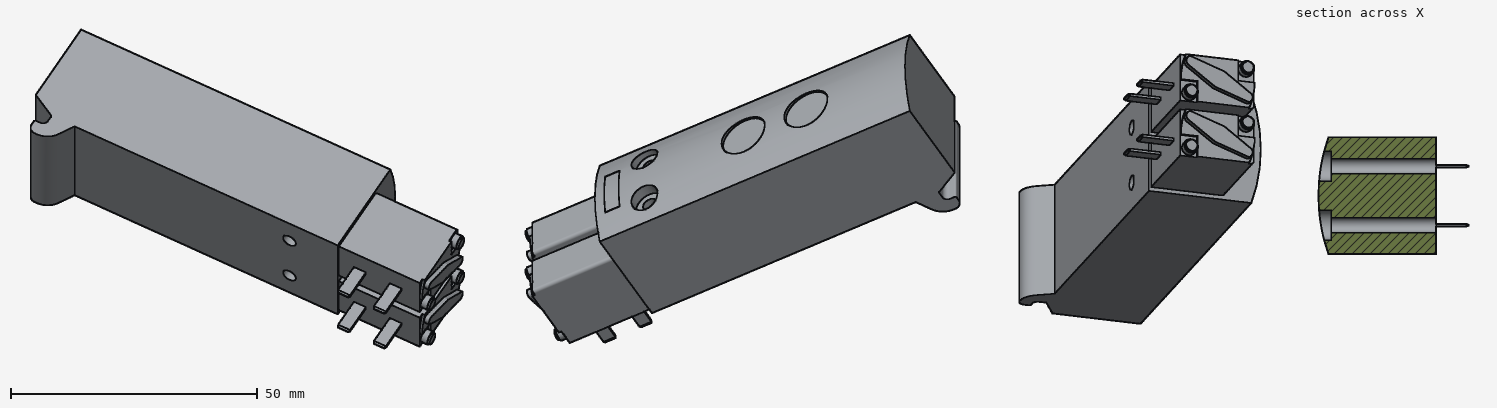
import cadquery as cq
import math


overall_length = 92.6
body_length = 71.9
body_height = 23.7
side_top_y = 21.85
crown_top_y = 23.9
nose_rise = 3.1
nose_run = 5.4

hook_left_x = 2.9
hook_tip_top_y = -2.6
hook_bottom_y = -5.5
hook_tip_corner = 0.4
hook_throat_radius = 1.1
hook_toe_radius = 1.7
hook_heel_diameter = 9.0
hook_heel_x = 5.0
hook_back_angle = math.radians(60)

station_pitch = 11.9
station_z = station_pitch / 2
mount_hole_x = 60.65
mount_hole_diameter = 3.0
mount_bore_diameter = 6.0
mount_bore_floor_y = 21.3

dimple_x = (23.0, 37.5)
dimple_diameter = 10.0
dimple_floor_y = 23.15
label_x = 68.1
label_length = 3.3
label_width = 11.1
label_depth = 0.1

coil_end_x = 90.7
coil_low_y = 0.5
coil_high_y = 16.2
coil_height = 10.0
coil_edge_radius = 0.7
coil_middle_y = (coil_low_y + coil_high_y) / 2

cover_thickness = 0.6
cover_side_bow = 1.1
screw_offset_y = 6.0
screw_offset_z = 3.2
screw_boss_diameter = 3.0
screw_boss_end_x = 92.1
screw_head_diameter = 2.4
notch_size_y = 3.5
notch_size_z = 4.4
strap_end_x = 92.3
strap_half_length = 7.0
strap_outer_z = 4.5
strap_inner_z = 2.6
strap_kink_y = 1.0
strap_kink_z = 1.8
strap_end_radius = 0.8

pin_x = (76.8, 85.1)
pin_width = 2.8
pin_thickness = 0.6
pin_tip_y = -6.6
pin_tip_length = 0.5
pin_tip_bevel = 0.2


def box(x_range, y_range, z_range):
    """Axis-aligned block between the given limits."""
    sizes = [high - low for low, high in (x_range, y_range, z_range)]
    block = cq.Workplane("XY").box(*sizes, centered=False)
    return block.translate((x_range[0], y_range[0], z_range[0]))


def cylinder_y(x, z, diameter, low_y, high_y):
    """Cylinder along Y."""
    axis_plane = cq.Workplane("XZ", origin=(x, low_y, z))
    return axis_plane.circle(diameter / 2).extrude(low_y - high_y)


def cylinder_x(y, z, diameter, start_x, end_x):
    """Cylinder along X."""
    axis_plane = cq.Workplane("YZ", origin=(start_x, y, z))
    return axis_plane.circle(diameter / 2).extrude(end_x - start_x)


def crown_cross_section(drop=0.0):
    """Cross-section with an arched +Y side, lowered by `drop`, extruded over the body length."""
    half = body_height / 2
    return (
        cq.Workplane("YZ")
        .moveTo(hook_bottom_y, -half)
        .lineTo(side_top_y - drop, -half)
        .threePointArc((crown_top_y - drop, 0), (side_top_y - drop, half))
        .lineTo(hook_bottom_y, half)
        .close()
        .extrude(body_length)
    )


def side_outline():
    """Side outline of body and latch hook, extruded through the full body height."""
    diagonal = math.sqrt(0.5)
    corner = hook_tip_corner
    throat = hook_throat_radius
    toe = hook_toe_radius
    heel = hook_heel_diameter / 2
    heel_center_y = hook_bottom_y + heel

    heel_end_x = hook_heel_x + heel * math.sin(hook_back_angle)
    heel_end_y = heel_center_y - heel * math.cos(hook_back_angle)
    heel_mid_x = hook_heel_x + heel * math.sin(hook_back_angle / 2)
    heel_mid_y = heel_center_y - heel * math.cos(hook_back_angle / 2)
    back_top_x = heel_end_x - heel_end_y / math.tan(hook_back_angle)

    outline = (
        cq.Workplane("XY", origin=(0, 0, -body_height / 2))
        .moveTo(0, crown_top_y)
        .lineTo(0, nose_rise)
        .lineTo(nose_run, 0)
        .lineTo(nose_run, hook_tip_top_y + throat)
        .threePointArc(
            (nose_run - throat * (1 - diagonal), hook_tip_top_y + throat * (1 - diagonal)),
            (nose_run - throat, hook_tip_top_y),
        )
        .lineTo(hook_left_x + corner, hook_tip_top_y)
        .threePointArc(
            (hook_left_x + corner * (1 - diagonal), hook_tip_top_y - corner * (1 - diagonal)),
            (hook_left_x, hook_tip_top_y - corner),
        )
        .lineTo(hook_left_x, hook_bottom_y + toe)
        .threePointArc(
            (hook_left_x + toe * (1 - diagonal), hook_bottom_y + toe * (1 - diagonal)),
            (hook_left_x + toe, hook_bottom_y),
        )
        .lineTo(hook_heel_x, hook_bottom_y)
        .threePointArc((heel_mid_x, heel_mid_y), (heel_end_x, heel_end_y))
        .lineTo(back_top_x, 0)
        .lineTo(body_length, 0)
        .lineTo(body_length, crown_top_y)
        .close()
    )
    return outline.extrude(body_height)


def make_body():
    """Arched body with hook, crown dimples, label recess and mounting holes."""
    body = side_outline().intersect(crown_cross_section())
    for x in dimple_x:
        body = body.cut(cylinder_y(x, 0, dimple_diameter, dimple_floor_y, crown_top_y))

    label_block = box(
        (label_x - label_length / 2, label_x + label_length / 2),
        (side_top_y, crown_top_y),
        (-label_width / 2, label_width / 2),
    )
    body = body.cut(label_block.cut(crown_cross_section(label_depth)))

    for z in (-station_z, station_z):
        body = body.cut(cylinder_y(mount_hole_x, z, mount_hole_diameter, 0, crown_top_y))
        body = body.cut(
            cylinder_y(mount_hole_x, z, mount_bore_diameter, mount_bore_floor_y, crown_top_y)
        )
    return body


def make_end_cover():
    """Thin cover on the coil end with bowed sides and two opposite corners cut out around the screws."""
    half_y = (coil_high_y - coil_low_y) / 2
    half_z = coil_height / 2
    notch_y = half_y - notch_size_y
    notch_z = half_z - notch_size_z

    side_rise = half_z + notch_z
    bow_radius = (side_rise**2 + cover_side_bow**2) / (2 * cover_side_bow)
    bow_half_angle = math.asin(side_rise / bow_radius) / 2
    bow_y = half_y - bow_radius * (1 - math.cos(bow_half_angle))
    bow_z = notch_z - bow_radius * math.sin(bow_half_angle)

    end_plane = cq.Workplane("YZ", origin=(coil_end_x, coil_middle_y, 0))
    outline = (
        end_plane.moveTo(cover_side_bow - half_y, half_z)
        .lineTo(notch_y, half_z)
        .lineTo(notch_y, notch_z)
        .lineTo(half_y, notch_z)
        .threePointArc((bow_y, bow_z), (half_y - cover_side_bow, -half_z))
        .lineTo(-notch_y, -half_z)
        .lineTo(-notch_y, -notch_z)
        .lineTo(-half_y, -notch_z)
        .threePointArc((-bow_y, -bow_z), (cover_side_bow - half_y, half_z))
        .close()
    )
    return outline.extrude(cover_thickness)


def make_strap():
    """Six-sided diagonal strap across the cover, with rounded ends."""
    half_outline = [
        (-strap_half_length, strap_inner_z),
        (-strap_half_length, strap_outer_z),
        (strap_kink_y, strap_kink_z),
    ]
    outline = half_outline + [(-y, -z) for y, z in half_outline]
    end_plane = cq.Workplane("YZ", origin=(coil_end_x, coil_middle_y, 0))
    strap = end_plane.polyline(outline).close().extrude(strap_end_x - coil_end_x)
    end_edges = strap.edges("|X").edges("<Y or >Y")
    return end_edges.fillet(strap_end_radius)


def make_pin(x):
    """Flat contact pin with a bevelled tip."""
    shank_end_y = pin_tip_y + pin_tip_length
    shank = box(
        (x - pin_width / 2, x + pin_width / 2),
        (shank_end_y, coil_middle_y),
        (-pin_thickness / 2, pin_thickness / 2),
    )
    tip_plane = cq.Workplane("XZ", origin=(x, shank_end_y, 0))
    taper_angle = math.degrees(math.atan2(pin_tip_bevel, pin_tip_length))
    tip = tip_plane.rect(pin_width, pin_thickness).extrude(pin_tip_length, taper=taper_angle)
    return shank.union(tip)


def make_solenoid():
    """Coil block with end cover, strap, two screws and two contact pins, centred on Z = 0."""
    coil = box(
        (body_length, coil_end_x),
        (coil_low_y, coil_high_y),
        (-coil_height / 2, coil_height / 2),
    )
    coil = coil.edges("|X and >Y").fillet(coil_edge_radius)
    solenoid = coil.union(make_end_cover()).union(make_strap())
    for side in (-1, 1):
        y = coil_middle_y + side * screw_offset_y
        z = side * screw_offset_z
        solenoid = solenoid.union(
            cylinder_x(y, z, screw_boss_diameter, coil_end_x, screw_boss_end_x)
        )
        solenoid = solenoid.union(
            cylinder_x(y, z, screw_head_diameter, screw_boss_end_x, overall_length)
        )
    for x in pin_x:
        solenoid = solenoid.union(make_pin(x))
    return solenoid


result = make_body()
single_solenoid = make_solenoid()
for z in (-station_z, station_z):
    result = result.union(single_solenoid.translate((0, 0, z)))